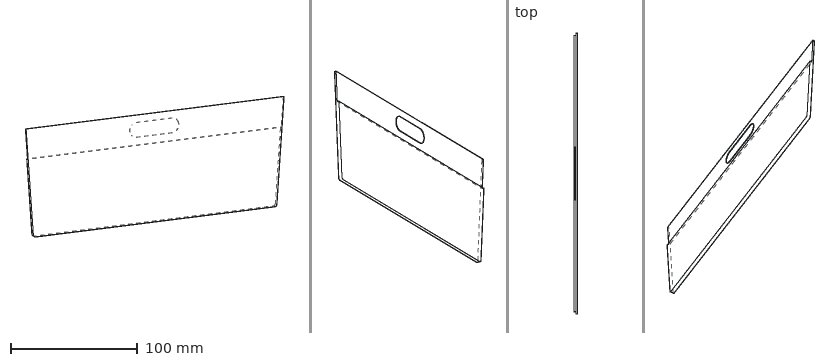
import cadquery as cq

thickness = 3.0
top_width = 222.0
bottom_width = 209.3
height = 90.0
corner_radius = 2.0
top_edge_radius = 0.55
step_edge_radius = 0.33

band_height = 25.3
band_thickness = 1.5

pad_length = 42.2
pad_height = 12.2
pad_drop = 12.5
pad_rise = 0.5

front_x = -thickness / 2
back_x = thickness / 2
top_z = height / 2
band_face_x = back_x - band_thickness


def tapered_plate():
    """Full-thickness plate, narrower at the bottom, with rounded bottom corners."""
    outline = [
        (-bottom_width / 2, -top_z),
        (bottom_width / 2, -top_z),
        (top_width / 2, top_z),
        (-top_width / 2, top_z),
    ]
    plate = cq.Workplane("YZ", origin=(front_x, 0, 0)).polyline(outline).close().extrude(thickness)
    return plate.faces("<Z").edges("|X").fillet(corner_radius)


def band_recess():
    """Block removed from the front to thin the upper band."""
    return cq.Workplane("XY").box(
        thickness - band_thickness, top_width, band_height, centered=(False, True, False)
    ).translate((front_x, 0, top_z - band_height))


def grip_pad():
    """Round-ended pad standing proud of the band's front face."""
    return (
        cq.Workplane("YZ", origin=(band_face_x - pad_rise, 0, top_z - pad_drop))
        .slot2D(pad_length, pad_height)
        .extrude(pad_rise)
    )


plate = tapered_plate().faces(">X").edges(">Z").fillet(top_edge_radius)
stepped_plate = plate.cut(band_recess()).faces("<X").edges(">Z").fillet(step_edge_radius)
result = stepped_plate.union(grip_pad())